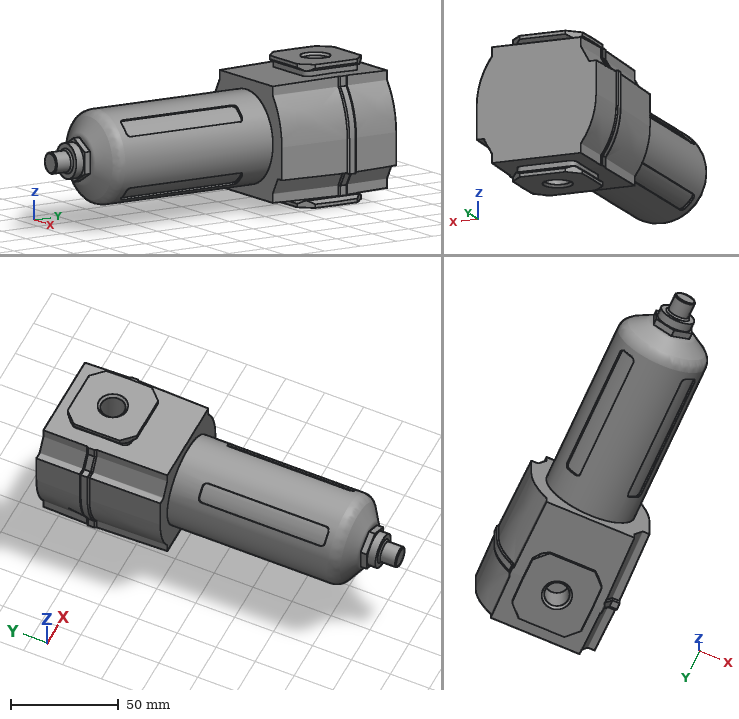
import cadquery as cq
import math


OVERALL_LENGTH = 172.8

HEAD_BACK = 25.0
HEAD_FRONT = 38.5
HEAD_DRAFT = 1.0
HEAD_HALF_WIDTH = 30.67
HEAD_HALF_HEIGHT = 28.3
CHEEK_HALF_WIDTH = 23.0
CHEEK_END = 23.5
NOTCH_STEP_X = 27.0
NOTCH_STEP_Z = 16.2

BAND_HEIGHT = 0.5
BAND_HALF_WIDTH = 1.65
BAND_BEVEL = 0.9

FLANGE_TOP = 34.0
FLANGE_HALF_SIZE = 17.8
FLANGE_CORNER_CUT = 6.2
FLANGE_EDGE = 1.7
FLANGE_UNDERCUT_ANGLE = 60.0
NECK_HALF_SIZE = 15.0
NECK_CORNER_RADIUS = 3.3
PORT_RADIUS = 5.9
PORT_CHAMFER = 1.2
PORT_DEPTH = 17.3

BOWL_RADIUS = 22.5
BOWL_TIP = 131.5
BOWL_CONE_TOP = 124.0
BOWL_TIP_RADIUS = 11.5
BOWL_SHOULDER_RADIUS = 6.4
BOWL_TIP_FILLET = 3.5
WINDOW_START = 52.5
WINDOW_END = 117.2
WINDOW_WIDTH = 9.5
WINDOW_DEPTH = 1.0
WINDOW_CORNER_RADIUS = 2.0
WINDOW_COUNT = 4

NUT_SIDES = 6
NUT_ACROSS_FLATS = 18.1
NUT_LENGTH = 3.1
COLLAR_RADIUS = 8.5
COLLAR_LENGTH = 4.1
STEM_RADIUS = 5.1
STEM_ROOT_CHAMFER = 0.9
STEM_TIP_CHAMFER = 0.5
DRAIN_TIP = OVERALL_LENGTH - HEAD_BACK


def head_outline(plane, grow):
    """Head section, the same after half a turn; grow moves its sides outwards."""
    height = HEAD_HALF_HEIGHT + grow
    width = HEAD_HALF_WIDTH + grow
    cheek = CHEEK_HALF_WIDTH + grow
    step_x = NOTCH_STEP_X + grow
    step_z = NOTCH_STEP_Z + grow
    rise = width - cheek
    bulge_radius = (rise**2 + CHEEK_END**2) / (2 * rise)
    middle_z = CHEEK_END / 2
    middle_x = width - bulge_radius + math.sqrt(bulge_radius**2 - middle_z**2)
    return (
        cq.Workplane(plane)
        .moveTo(-cheek, height)
        .lineTo(cheek, height)
        .lineTo(cheek, CHEEK_END)
        .threePointArc((middle_x, middle_z), (width, 0))
        .lineTo(width, -step_z)
        .lineTo(step_x, -step_z)
        .lineTo(cheek, -CHEEK_END)
        .lineTo(cheek, -height)
        .lineTo(-cheek, -height)
        .lineTo(-cheek, -CHEEK_END)
        .threePointArc((-middle_x, -middle_z), (-width, 0))
        .lineTo(-width, step_z)
        .lineTo(-step_x, step_z)
        .lineTo(-cheek, CHEEK_END)
        .close()
    )


def front_plane(distance):
    """XZ plane at the given distance from the parting plane towards -Y."""
    return cq.Plane(origin=(0, -distance, 0), xDir=(1, 0, 0), normal=(0, -1, 0))


def drafted(outline):
    """Solid as long as the head, widest at the parting plane and drafted towards both ends."""
    front = outline.extrude(HEAD_FRONT, taper=HEAD_DRAFT)
    back = outline.toPending().extrude(-HEAD_BACK, taper=HEAD_DRAFT)
    return front.union(back)


def drafted_block(half_width, half_height):
    return drafted(cq.Workplane(front_plane(0)).rect(2 * half_width, 2 * half_height))


def make_band():
    """Band with bevelled sides, trimmed flush with the drafted port faces of the head."""
    bevel_angle = math.degrees(math.atan(BAND_HEIGHT / BAND_BEVEL))
    band = head_outline(front_plane(-BAND_HALF_WIDTH), BAND_HEIGHT).extrude(2 * BAND_HALF_WIDTH)
    front_bevel = head_outline(front_plane(BAND_HALF_WIDTH), BAND_HEIGHT).extrude(
        BAND_BEVEL, taper=bevel_angle
    )
    back_bevel = head_outline(front_plane(-BAND_HALF_WIDTH), BAND_HEIGHT).extrude(
        -BAND_BEVEL, taper=bevel_angle
    )
    port_faces = drafted_block(2 * HEAD_HALF_WIDTH, HEAD_HALF_HEIGHT)
    return band.union(front_bevel).union(back_bevel).intersect(port_faces)


def make_flange():
    """Octagonal flange on a square neck, standing on the +Z side."""
    size = 2 * FLANGE_HALF_SIZE
    rim_bottom = FLANGE_TOP - FLANGE_EDGE
    undercut = (FLANGE_HALF_SIZE - NECK_HALF_SIZE) / math.tan(math.radians(FLANGE_UNDERCUT_ANGLE))
    plate = (
        cq.Workplane("XY", origin=(0, 0, rim_bottom))
        .rect(size, size)
        .extrude(FLANGE_EDGE)
    )
    underside = (
        cq.Workplane("XY", origin=(0, 0, rim_bottom))
        .rect(size, size)
        .extrude(-undercut, taper=FLANGE_UNDERCUT_ANGLE)
    )
    octagon = (
        cq.Workplane("XY")
        .rect(size, size)
        .extrude(FLANGE_TOP)
        .edges("|Z")
        .chamfer(FLANGE_CORNER_CUT)
        .intersect(drafted_block(FLANGE_HALF_SIZE, 2 * FLANGE_TOP))
    )
    neck = (
        cq.Workplane("XY")
        .rect(2 * NECK_HALF_SIZE, 2 * NECK_HALF_SIZE)
        .extrude(rim_bottom)
        .edges("|Z")
        .fillet(NECK_CORNER_RADIUS)
    )
    return plate.union(underside).intersect(octagon).union(neck)


def make_port():
    """Chamfered blind port bored down from the flange top."""
    floor = FLANGE_TOP - PORT_DEPTH
    return (
        cq.Workplane("XZ")
        .moveTo(0, floor)
        .lineTo(PORT_RADIUS, floor)
        .lineTo(PORT_RADIUS, FLANGE_TOP - PORT_CHAMFER)
        .lineTo(PORT_RADIUS + PORT_CHAMFER, FLANGE_TOP)
        .lineTo(0, FLANGE_TOP)
        .close()
        .revolve(360, (0, 0), (0, 1))
    )


def make_head():
    """Drafted block with the raised band and a bored flange on +Z and -Z."""
    head = drafted(head_outline(front_plane(0), 0))
    head = head.union(make_band())
    for turn in (0, 180):
        head = head.union(make_flange().rotate((0, 0, 0), (0, 1, 0), turn))
        head = head.cut(make_port().rotate((0, 0, 0), (0, 1, 0), turn))
    return head


def make_window():
    """Block that cuts one shallow window into the +Z side of the bowl."""
    length = WINDOW_END - WINDOW_START
    middle = (WINDOW_START + WINDOW_END) / 2
    block = (
        cq.Workplane("XY", origin=(0, -middle, 0))
        .rect(WINDOW_WIDTH, length)
        .extrude(2 * BOWL_RADIUS)
        .edges("|Z")
        .fillet(WINDOW_CORNER_RADIUS)
    )
    core = cq.Workplane("XZ").circle(BOWL_RADIUS - WINDOW_DEPTH).extrude(BOWL_TIP)
    return block.cut(core)


def make_bowl():
    """Solid bowl with a rounded conical tip and windows halfway between the X and Z axes."""
    bowl = (
        cq.Workplane("XY")
        .moveTo(0, -HEAD_FRONT)
        .lineTo(BOWL_RADIUS, -HEAD_FRONT)
        .lineTo(BOWL_RADIUS, -BOWL_CONE_TOP)
        .lineTo(BOWL_TIP_RADIUS, -BOWL_TIP)
        .lineTo(0, -BOWL_TIP)
        .close()
        .revolve(360, (0, 0), (0, 1))
    )
    bowl = bowl.faces("<Y").edges().fillet(BOWL_TIP_FILLET)
    bowl = bowl.faces("%CYLINDER").edges("<Y").fillet(BOWL_SHOULDER_RADIUS)
    window = make_window()
    spacing = 360 / WINDOW_COUNT
    for index in range(WINDOW_COUNT):
        bowl = bowl.cut(window.rotate((0, 0, 0), (0, 1, 0), (index + 0.5) * spacing))
    return bowl


def make_drain():
    """Hexagon nut, collar and stem in one piece, with two nut corners pointing along Z."""
    half_side_angle = 180 / NUT_SIDES
    nut_corner_diameter = NUT_ACROSS_FLATS / math.cos(math.radians(half_side_angle))
    nut_end = BOWL_TIP + NUT_LENGTH
    collar_end = nut_end + COLLAR_LENGTH
    nut = (
        cq.Workplane(front_plane(BOWL_TIP))
        .polygon(NUT_SIDES, nut_corner_diameter)
        .extrude(NUT_LENGTH)
        .rotate((0, 0, 0), (0, 1, 0), half_side_angle)
    )
    spindle = (
        cq.Workplane("XY")
        .moveTo(0, -BOWL_TIP)
        .lineTo(COLLAR_RADIUS, -BOWL_TIP)
        .lineTo(COLLAR_RADIUS, -collar_end)
        .lineTo(STEM_RADIUS + STEM_ROOT_CHAMFER, -collar_end)
        .lineTo(STEM_RADIUS, -collar_end - STEM_ROOT_CHAMFER)
        .lineTo(STEM_RADIUS, -DRAIN_TIP + STEM_TIP_CHAMFER)
        .lineTo(STEM_RADIUS - STEM_TIP_CHAMFER, -DRAIN_TIP)
        .lineTo(0, -DRAIN_TIP)
        .close()
        .revolve(360, (0, 0), (0, 1))
    )
    return nut.union(spindle)


head = make_head()
bowl = make_bowl()
drain = make_drain()

result = cq.Compound.makeCompound([head.val(), bowl.val(), drain.val()])